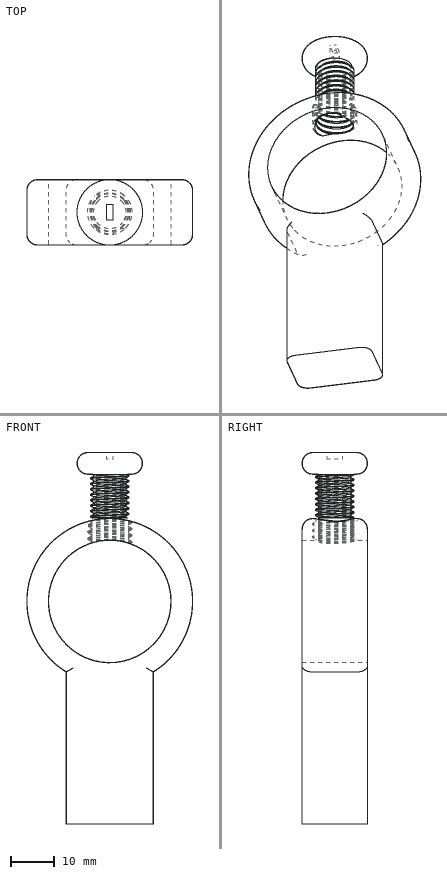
import cadquery as cq

ring_outer_diameter = 38.0
bore_diameter = 28.0
depth = 15.0
handle_width = 20.0
handle_length = 51.0
edge_radius = 2.5

hole_minor_diameter = 8.53
hole_major_diameter = 10.2
hole_pitch = 1.5
hole_thread_start = 12.1

head_diameter = 15.0
head_thickness = 5.0
head_top = 34.1
shank_length = 10.0
screw_major_diameter = 8.87
screw_minor_diameter = 7.45
screw_pitch = 1.25
screw_thread_phase = 0.75
run_in_turns = 2
run_out_turns = 1
slot_width = 1.5
slot_length = 3.5
slot_depth = 1.5

tip_share = 1 / 8
base_share = 3 / 4
root_overlap = 0.1

shank_top = head_top - head_thickness
shank_bottom = shank_top - shank_length


def helical_ridge(base_radius, tip_radius, pitch, start_height, height):
    """Right-handed ridge whose section tapers from the base radius out to the tip radius."""
    half_tip = tip_share * pitch / 2
    half_base = base_share * pitch / 2
    flank_slope = (half_base - half_tip) / (tip_radius - base_radius)
    inner_radius = base_radius - root_overlap
    half_inner = half_base + flank_slope * root_overlap
    helix = cq.Wire.makeHelix(pitch, height, base_radius)
    section = (
        cq.Workplane("XZ")
        .polyline([
            (inner_radius, -half_inner),
            (tip_radius, -half_tip),
            (tip_radius, half_tip),
            (inner_radius, half_inner),
        ])
        .close()
    )
    ridge = section.sweep(cq.Workplane(obj=helix), isFrenet=True)
    return ridge.translate((0, 0, start_height))


def make_holder():
    ring = (
        cq.Workplane("XZ")
        .circle(ring_outer_diameter / 2)
        .extrude(depth / 2, both=True)
        .edges()
        .fillet(edge_radius)
    )
    handle = (
        cq.Workplane("XY", origin=(0, 0, -handle_length))
        .rect(handle_width, depth)
        .extrude(handle_length)
        .edges("|Z")
        .fillet(edge_radius)
    )
    bore = cq.Workplane("XZ").circle(bore_diameter / 2).extrude(depth, both=True)
    hole = cq.Workplane("XY").circle(hole_minor_diameter / 2).extrude(ring_outer_diameter)
    thread_height = ring_outer_diameter / 2 + hole_pitch - hole_thread_start
    groove = helical_ridge(
        hole_minor_diameter / 2,
        hole_major_diameter / 2,
        hole_pitch,
        hole_thread_start,
        thread_height,
    )
    return ring.union(handle).cut(bore).cut(hole).cut(groove)


def make_screw():
    head = (
        cq.Workplane("XZ")
        .moveTo(0, shank_top)
        .lineTo((head_diameter - head_thickness) / 2, shank_top)
        .threePointArc(
            (head_diameter / 2, head_top - head_thickness / 2),
            ((head_diameter - head_thickness) / 2, head_top),
        )
        .lineTo(0, head_top)
        .close()
        .revolve(360, (0, 0, 0), (0, 1, 0))
    )
    slot = cq.Workplane("XY", origin=(0, 0, head_top)).rect(slot_width, slot_length).extrude(-slot_depth)
    shank_plane = cq.Workplane("XY", origin=(0, 0, shank_bottom))
    core = shank_plane.circle(screw_minor_diameter / 2).extrude(shank_length)
    trim_blank = shank_plane.circle(screw_major_diameter).extrude(shank_length)
    thread = helical_ridge(
        screw_minor_diameter / 2,
        screw_major_diameter / 2,
        screw_pitch,
        shank_bottom - (run_in_turns - screw_thread_phase) * screw_pitch,
        shank_length + (run_in_turns + run_out_turns) * screw_pitch,
    ).intersect(trim_blank)
    return core.union(thread).union(head).cut(slot)


holder = make_holder()
screw = make_screw()
result = cq.Compound.makeCompound([holder.solids().val(), screw.solids().val()])